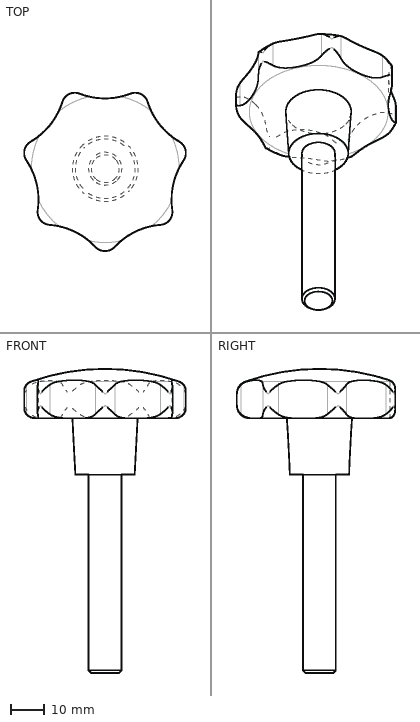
import cadquery as cq
import math


lobe_count = 7
head_radius = 25.0
head_height = 15.0
dome_radius = 67.0
rim_round_radius = 4.0
lobe_tip_radius = 4.0
scallop_radius = 21.0

hub_height = 17.0
hub_lower_radius = 9.0
hub_taper_angle = math.radians(3)

shank_radius = 5.0
shank_length = 60.0
shank_chamfer = 0.8

head_top_z = hub_height + head_height
hub_upper_radius = hub_lower_radius + hub_height * math.tan(hub_taper_angle)
lobe_pitch = 2 * math.pi / lobe_count
first_lobe_angle = -math.pi / 2
lobe_center_distance = head_radius - lobe_tip_radius

tip_to_scallop_distance = lobe_tip_radius + scallop_radius
half_lobe_chord = lobe_center_distance * math.sin(lobe_pitch / 2)
scallop_center_distance = lobe_center_distance * math.cos(lobe_pitch / 2) + math.sqrt(
    tip_to_scallop_distance**2 - half_lobe_chord**2
)


def polar(radius, angle):
    return (radius * math.cos(angle), radius * math.sin(angle))


def tangent_point(lobe_angle, scallop_angle):
    """Point where a lobe tip arc meets a neighbouring scallop arc."""
    lobe_x, lobe_y = polar(lobe_center_distance, lobe_angle)
    scallop_x, scallop_y = polar(scallop_center_distance, scallop_angle)
    fraction = lobe_tip_radius / tip_to_scallop_distance
    return (
        lobe_x + fraction * (scallop_x - lobe_x),
        lobe_y + fraction * (scallop_y - lobe_y),
    )


def make_lobed_prism():
    """Lobed outline, as tall as the head."""
    half_pitch = lobe_pitch / 2
    start = tangent_point(first_lobe_angle, first_lobe_angle - half_pitch)
    outline = cq.Workplane("XY").workplane(offset=hub_height).moveTo(*start)
    for index in range(lobe_count):
        lobe_angle = first_lobe_angle + index * lobe_pitch
        scallop_angle = lobe_angle + half_pitch
        next_lobe_angle = lobe_angle + lobe_pitch
        tip = polar(head_radius, lobe_angle)
        scallop_bottom = polar(scallop_center_distance - scallop_radius, scallop_angle)
        tip_end = tangent_point(lobe_angle, scallop_angle)
        scallop_end = tangent_point(next_lobe_angle, scallop_angle)
        outline = outline.threePointArc(tip, tip_end)
        outline = outline.threePointArc(scallop_bottom, scallop_end)
    return outline.close().extrude(head_height)


def make_domed_disc():
    """Revolved head with a spherical top and rounds at both ends of its rim."""
    dome_center_z = head_top_z - dome_radius
    round_center_radius = head_radius - rim_round_radius

    dome_to_round_distance = dome_radius - rim_round_radius
    tangent_angle = math.acos(round_center_radius / dome_to_round_distance)
    upper_round_z = dome_center_z + dome_to_round_distance * math.sin(tangent_angle)
    lower_round_z = hub_height + rim_round_radius

    def dome_point(angle):
        x, z = polar(dome_radius, angle)
        return (x, dome_center_z + z)

    def round_point(center_z, angle):
        x, z = polar(rim_round_radius, angle)
        return (round_center_radius + x, center_z + z)

    dome_middle_angle = (tangent_angle + math.pi / 2) / 2
    profile = (
        cq.Workplane("XZ")
        .moveTo(0, hub_height)
        .lineTo(round_center_radius, hub_height)
        .threePointArc(round_point(lower_round_z, -math.pi / 4), (head_radius, lower_round_z))
        .lineTo(head_radius, upper_round_z)
        .threePointArc(round_point(upper_round_z, tangent_angle / 2), dome_point(tangent_angle))
        .threePointArc(dome_point(dome_middle_angle), (0, head_top_z))
        .close()
    )
    return profile.revolve(360, (0, 0, 0), (0, 1, 0))


def make_hub():
    """Hub that tapers down from the head to the shank."""
    return (
        cq.Workplane("XZ")
        .polyline([(0, 0), (hub_lower_radius, 0), (hub_upper_radius, hub_height), (0, hub_height)])
        .close()
        .revolve(360, (0, 0, 0), (0, 1, 0))
    )


def make_shank():
    """Plain round shank with a chamfered free end."""
    shank = cq.Workplane("XY").circle(shank_radius).extrude(-shank_length)
    return shank.faces("<Z").chamfer(shank_chamfer)


head = make_domed_disc().intersect(make_lobed_prism())
result = head.union(make_hub()).union(make_shank())